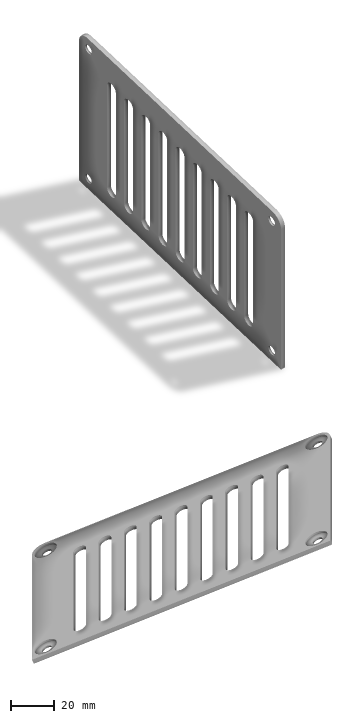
import cadquery as cq

length = 152.4
thickness = 2.3
height = 101.7
top_corner_radius = 6.4

hole_diameter = 5.0
hole_inset = 7.0
counterbore_diameter = 11.5
counterbore_depth = 1.2

slot_count = 9
slot_width = 6.5
slot_length = 76.2
slot_pitch = 13.0
slot_bottom_margin = 9.6


def make_plate():
    """Flat plate with its two upper corners rounded."""
    plate = cq.Workplane("XY").box(length, thickness, height)
    return plate.edges("|Y and >Z").fillet(top_corner_radius)


def hole_centers():
    """XZ workplane through the plate's middle, with a point at each mounting hole."""
    return (
        cq.Workplane("XZ")
        .rect(length - 2 * hole_inset, height - 2 * hole_inset, forConstruction=True)
        .vertices()
    )


def make_holes():
    """Through-hole cutters with counterbores sunk into the rear (+Y) face."""
    holes = hole_centers().circle(hole_diameter / 2).extrude(thickness, both=True)
    counterbores = (
        hole_centers()
        .circle(counterbore_diameter / 2)
        .extrude(-counterbore_depth)
        .translate((0, thickness / 2 - counterbore_depth, 0))
    )
    return holes.union(counterbores)


def make_slots():
    """Evenly spaced through-slot cutters with full-round ends."""
    slot_center_z = -height / 2 + slot_bottom_margin + slot_length / 2
    return (
        cq.Workplane("XZ")
        .center(0, slot_center_z)
        .rarray(slot_pitch, 1.5, slot_count, 1)
        .slot2D(slot_length, slot_width, angle=90)
        .extrude(thickness, both=True)
    )


result = make_plate().cut(make_holes()).cut(make_slots())